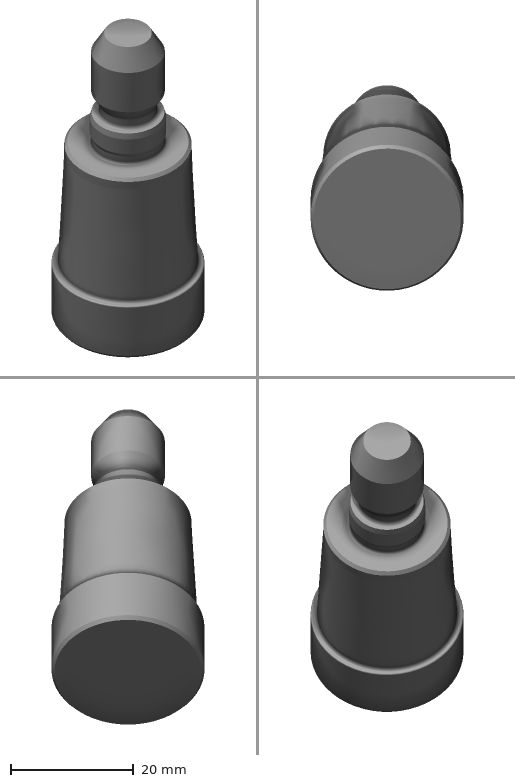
import cadquery as cq
import math

TOTAL_HEIGHT = 57.0
BASE_HEIGHT = 10.6
CONE_BOTTOM_Z = 11.75
CONE_TOP_Z = 32.7
BAND_BOTTOM_Z = 33.05
SHOULDER_Z = 34.95
UNDERCUT_BOTTOM_Z = 35.3
UNDERCUT_TOP_Z = 36.35
COLLAR_BOTTOM_Z = 37.0
COLLAR_BEVEL_Z = 39.95
COLLAR_TOP_Z = 41.0
GROOVE_TOP_Z = 42.85
HEAD_BOTTOM_Z = 45.3

BASE_RADIUS = 24.95 / 2
CONE_BOTTOM_RADIUS = 11.4
BAND_RADIUS = 20.8 / 2
RELIEF_OUTER_RADIUS = 7.25
COLLAR_RADIUS = 12.5 / 2
UNDERCUT_RADIUS = 12.1 / 2
COLLAR_TOP_RADIUS = 6.0
HEAD_RADIUS = 12.0 / 2
GROOVE_RADIUS = 9.4 / 2
TIP_RADIUS = 3.9

BASE_CHAMFER_WIDTH = 0.45
BASE_CHAMFER_HEIGHT = 0.6
BASE_RIM_FILLET = 0.2
FOOT_FILLET = 0.55
SHOULDER_CHAMFER = 0.5
UNDERCUT_FILLET = 0.45
GROOVE_FILLET = 0.7
HEAD_SLOPE = math.radians(60)
GROOVE_TOP_FILLET = 0.7

QUARTER_COS = math.cos(math.pi / 4)


def add_fillet(outline, wall_radius, floor_z, fillet):
    """Follow a wall down to a quarter-round corner that ends on a floor at floor_z."""
    inset = fillet * (1 - QUARTER_COS)
    return (
        outline.lineTo(wall_radius, floor_z + fillet)
        .threePointArc((wall_radius + inset, floor_z + inset), (wall_radius + fillet, floor_z))
    )


def make_base():
    """Plain round base that carries the stud."""
    base = (
        cq.Workplane("XZ")
        .lineTo(BASE_RADIUS - BASE_CHAMFER_WIDTH, 0)
        .lineTo(BASE_RADIUS, BASE_CHAMFER_HEIGHT)
        .lineTo(BASE_RADIUS, BASE_HEIGHT)
        .lineTo(0, BASE_HEIGHT)
        .close()
        .revolve(360, (0, 0, 0), (0, 1, 0))
    )
    return base.faces(">Z").edges().fillet(BASE_RIM_FILLET)


def make_stud():
    """Tapered stud with collar, retention groove and bevelled head, turned from the tip down."""
    tip_bevel_z = TOTAL_HEIGHT - (HEAD_RADIUS - TIP_RADIUS) * math.tan(HEAD_SLOPE)
    turn = math.pi / 2 - HEAD_SLOPE
    blend_end_radius = GROOVE_RADIUS + GROOVE_TOP_FILLET * (1 - math.cos(turn))
    blend_end_z = GROOVE_TOP_Z + GROOVE_TOP_FILLET * math.sin(turn)
    blend_mid = (
        GROOVE_RADIUS + GROOVE_TOP_FILLET * (1 - math.cos(turn / 2)),
        GROOVE_TOP_Z + GROOVE_TOP_FILLET * math.sin(turn / 2),
    )
    outline = (
        cq.Workplane("XZ")
        .moveTo(0, TOTAL_HEIGHT)
        .lineTo(TIP_RADIUS, TOTAL_HEIGHT)
        .lineTo(HEAD_RADIUS, tip_bevel_z)
        .lineTo(HEAD_RADIUS, HEAD_BOTTOM_Z)
        .lineTo(blend_end_radius, blend_end_z)
        .threePointArc(blend_mid, (GROOVE_RADIUS, GROOVE_TOP_Z))
    )

    outline = add_fillet(outline, GROOVE_RADIUS, COLLAR_TOP_Z, GROOVE_FILLET)
    outline = (
        outline.lineTo(COLLAR_TOP_RADIUS, COLLAR_TOP_Z)
        .lineTo(COLLAR_RADIUS, COLLAR_BEVEL_Z)
        .lineTo(COLLAR_RADIUS, COLLAR_BOTTOM_Z)
    )

    relief_z = UNDERCUT_BOTTOM_Z - UNDERCUT_FILLET
    outline = outline.lineTo(UNDERCUT_RADIUS, UNDERCUT_TOP_Z)
    outline = add_fillet(outline, UNDERCUT_RADIUS, relief_z, UNDERCUT_FILLET)
    outline = outline.lineTo(RELIEF_OUTER_RADIUS, SHOULDER_Z)

    blend_height = BAND_BOTTOM_Z - CONE_TOP_Z
    corner_z = BAND_BOTTOM_Z - blend_height / 2
    taper = math.atan((CONE_BOTTOM_RADIUS - BAND_RADIUS) / (corner_z - CONE_BOTTOM_Z))
    cone_top_radius = BAND_RADIUS + blend_height * math.tan(taper / 2)
    band_blend_mid = (
        BAND_RADIUS + blend_height / 2 * math.tan(taper / 4),
        corner_z,
    )
    outline = (
        outline.lineTo(BAND_RADIUS - SHOULDER_CHAMFER, SHOULDER_Z)
        .lineTo(BAND_RADIUS, SHOULDER_Z - SHOULDER_CHAMFER)
        .lineTo(BAND_RADIUS, BAND_BOTTOM_Z)
        .threePointArc(band_blend_mid, (cone_top_radius, CONE_TOP_Z))
        .lineTo(CONE_BOTTOM_RADIUS, CONE_BOTTOM_Z)
    )

    outline = add_fillet(outline, CONE_BOTTOM_RADIUS, BASE_HEIGHT, FOOT_FILLET)
    return outline.lineTo(0, BASE_HEIGHT).close().revolve(360, (0, 0, 0), (0, 1, 0))


base = make_base()
stud = make_stud()
result = cq.Compound.makeCompound([base.val(), stud.val()])